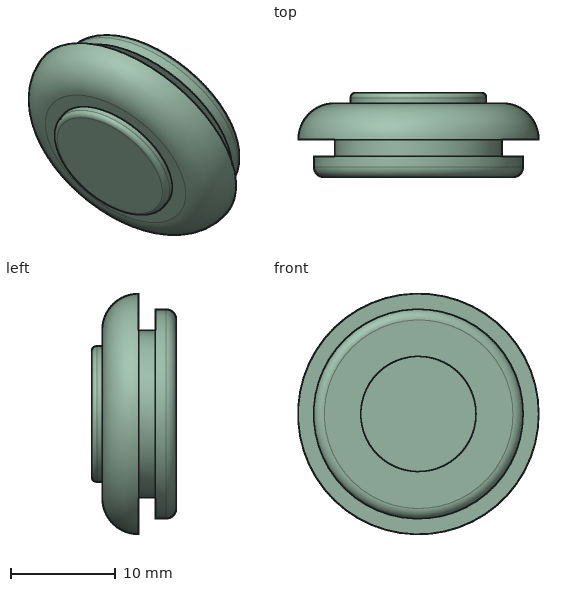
import cadquery as cq

flange_diameter = 23.0
front_disc_diameter = 20.0
groove_diameter = 16.0
boss_diameter = 13.0
bore_diameter = 11.0

front_disc_thickness = 2.0
groove_width = 1.6
flange_thickness = 3.5
boss_height = 1.0

front_disc_fillet = 1.0
boss_fillet = 0.5
flange_round = flange_thickness

end_wall_thickness = 1.5

front_face = 0.0
groove_start = front_face + front_disc_thickness
flange_start = groove_start + groove_width
boss_start = flange_start + flange_thickness
back_face = boss_start + boss_height
bore_depth = back_face - front_face - end_wall_thickness


def disc(diameter, start, thickness):
    """Cylinder about the Y axis, running from start towards +Y."""
    plane = cq.Plane(origin=(0, start, 0), xDir=(1, 0, 0), normal=(0, 1, 0))
    return cq.Workplane(plane).circle(diameter / 2).extrude(thickness)


def make_front_disc():
    body = disc(front_disc_diameter, front_face, front_disc_thickness)
    return body.faces("<Y").edges().fillet(front_disc_fillet)


def make_flange():
    """Half section with a quarter-round rim, revolved about the Y axis."""
    rim_radius = flange_diameter / 2
    flat_radius = rim_radius - flange_round
    return (
        cq.Workplane("XY")
        .moveTo(0, flange_start)
        .lineTo(rim_radius, flange_start)
        .radiusArc((flat_radius, boss_start), -flange_round)
        .lineTo(0, boss_start)
        .close()
        .revolve(360, (0, 0, 0), (0, 1, 0))
    )


def make_boss():
    body = disc(boss_diameter, boss_start, boss_height)
    return body.faces(">Y").edges().fillet(boss_fillet)


groove_core = disc(groove_diameter, groove_start, groove_width)
bore = disc(bore_diameter, front_face, bore_depth)

result = make_front_disc().union(groove_core).union(make_flange()).union(make_boss()).cut(bore)